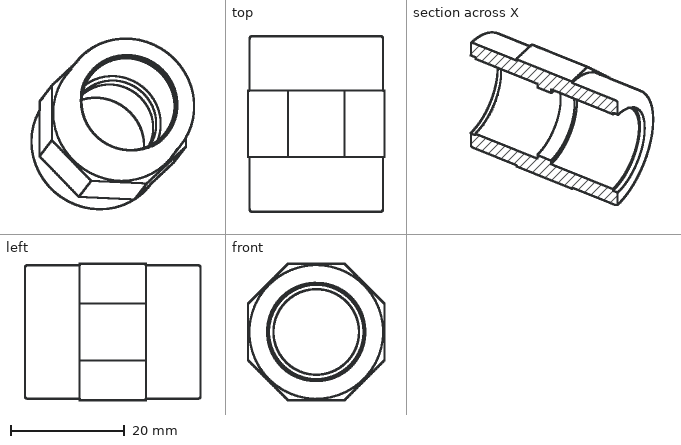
import cadquery as cq
import math

sleeve_length = 30.9
sleeve_diameter = 23.5
rim_radius = 0.5

collar_across_flats = 24.0
collar_length = 11.68
collar_sides = 8

through_diameter = 15.0
socket_diameter = 16.6
socket_depth = 14.0
entry_diameter = 17.3
entry_depth = 1.0


def cylinder_along_y(diameter, y_start, length):
    """Solid cylinder on the Y axis, from y_start toward +Y."""
    return cq.Workplane("XZ", origin=(0, y_start, 0)).circle(diameter / 2).extrude(-length)


def make_sleeve():
    sleeve = cylinder_along_y(sleeve_diameter, -sleeve_length / 2, sleeve_length)
    return sleeve.faces("<Y or >Y").edges().fillet(rim_radius)


def make_collar():
    half_side_angle = math.pi / collar_sides
    across_corners = collar_across_flats / math.cos(half_side_angle)
    return (
        cq.Workplane("XZ", origin=(0, -collar_length / 2, 0))
        .polygon(collar_sides, across_corners)
        .extrude(-collar_length)
        .rotate((0, 0, 0), (0, 1, 0), math.degrees(half_side_angle))
    )


def cut_bore(body):
    body = body.cut(cylinder_along_y(through_diameter, -sleeve_length / 2, sleeve_length))
    for diameter, depth in ((socket_diameter, socket_depth), (entry_diameter, entry_depth)):
        front_pocket = cylinder_along_y(diameter, -sleeve_length / 2, depth)
        back_pocket = front_pocket.mirror("XZ")
        body = body.cut(front_pocket).cut(back_pocket)
    return body


result = cut_bore(make_sleeve().union(make_collar()))